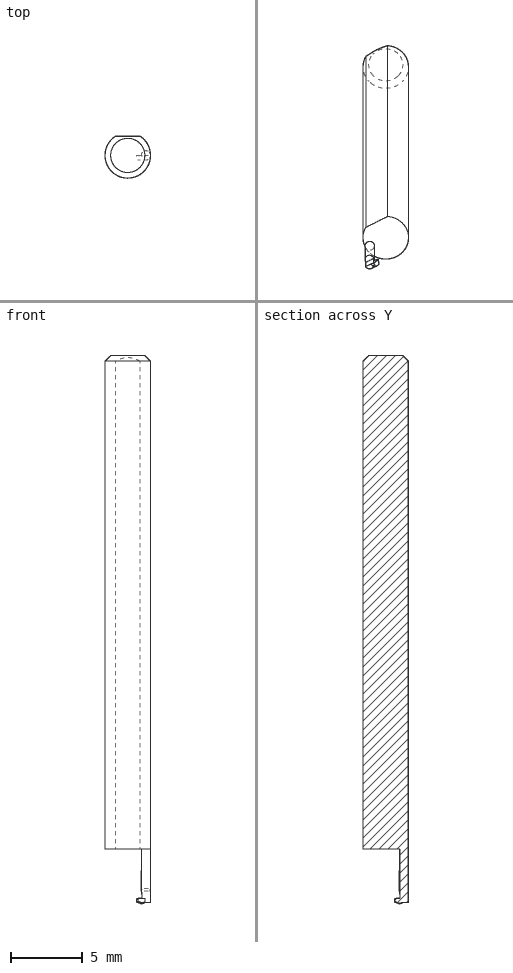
import cadquery as cq

total_length = 38.1
shank_diameter = 3.175
shank_radius = shank_diameter / 2
flat_y = 1.333
shank_length = 34.29
top_chamfer = 0.4

neck_radius = 0.325
neck_x = shank_radius - neck_radius
neck_left_x = neck_x - neck_radius
neck_end_z = 0.09

rake_y = 0.0
rake_height = 0.92
rake_runout = 0.17

tooth_reach = 0.34
head_overlap = 0.26
head_inner_x = neck_left_x + head_overlap
nose_offset = 0.02
head_overhang = 0.01
head_depth = neck_radius + head_overhang
head_top_z = 0.43
edge_relief = 0.1
tooth_tip_low_z = 0.14
tooth_tip_high_z = 0.34

clearance_depth = 0.045
clearance_top_z = 0.9
clearance_slope_z = 0.65

shank_bottom_z = total_length - shank_length


def make_shank():
    bar = (
        cq.Workplane("XY", origin=(0, 0, shank_bottom_z))
        .circle(shank_radius)
        .extrude(shank_length)
        .faces(">Z")
        .chamfer(top_chamfer)
    )
    flat_cutter = (
        cq.Workplane("XY", origin=(0, flat_y + shank_radius, shank_bottom_z))
        .rect(shank_diameter, shank_diameter)
        .extrude(shank_length)
    )
    return bar.cut(flat_cutter)


def make_neck():
    stem = (
        cq.Workplane("XY", origin=(neck_x, 0, neck_end_z))
        .circle(neck_radius)
        .extrude(shank_bottom_z - neck_end_z)
    )
    rake_cutter = (
        cq.Workplane("YZ", origin=(neck_x, 0, 0))
        .moveTo(rake_y, 0)
        .lineTo(rake_y, rake_height)
        .lineTo(rake_y + neck_radius, rake_height + rake_runout)
        .lineTo(rake_y + neck_radius, 0)
        .close()
        .extrude(neck_radius, both=True)
    )
    clearance_x = neck_left_x + clearance_depth
    clearance_cutter = (
        cq.Workplane("XZ", origin=(0, rake_y, 0))
        .moveTo(neck_left_x, clearance_top_z)
        .lineTo(clearance_x, clearance_slope_z)
        .lineTo(clearance_x, neck_end_z)
        .lineTo(neck_left_x, neck_end_z)
        .close()
        .extrude(neck_radius, both=True)
    )
    return stem.cut(rake_cutter).cut(clearance_cutter)


def head_outline(relief):
    """XZ corner points of the head; relief draws the cutting edges inward."""
    tip_x = neck_left_x - tooth_reach + relief
    side_relief = relief / 2
    nose_x = neck_left_x + nose_offset
    return [
        (tip_x, tooth_tip_low_z + side_relief),
        (nose_x, relief),
        (head_inner_x, neck_end_z + side_relief),
        (head_inner_x, head_top_z - side_relief),
        (neck_left_x - tooth_reach / 2, head_top_z - side_relief),
        (tip_x, tooth_tip_high_z - side_relief),
    ]


def make_head():
    return (
        cq.Workplane("XZ", origin=(0, rake_y, 0))
        .polyline(head_outline(0))
        .close()
        .workplane(offset=head_depth)
        .polyline(head_outline(edge_relief))
        .close()
        .loft(ruled=True)
    )


result = make_shank().union(make_neck()).union(make_head())